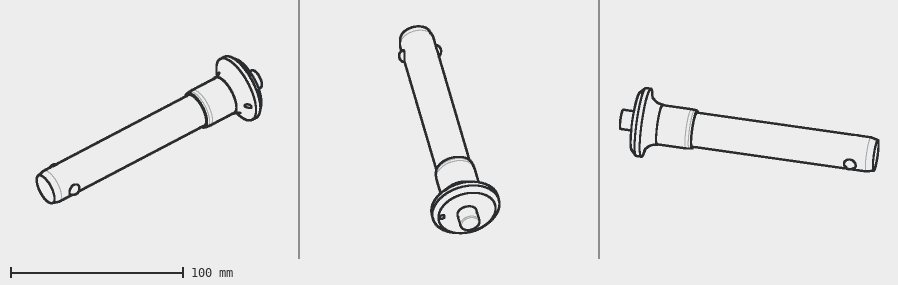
import cadquery as cq

LENGTH = 150.1

BUTTON_RADIUS = 5.7
BUTTON_LENGTH = 8.5
BUTTON_EDGE = 0.6

HEAD_RADIUS = 20.0
HEAD_THICKNESS = 6.0
HEAD_CHAMFER = 3.0

COLLAR_RADIUS = 11.5
COLLAR_LENGTH = 28.5
FLARE_RADIUS = 8.1
COLLAR_TAPER_LENGTH = 3.5
COLLAR_LIP_LENGTH = 1.5
COLLAR_STEP = 0.2
COLLAR_LIP_CHAMFER = 0.3

SHAFT_RADIUS = 10.0
TIP_RADIUS = 9.0
TIP_LENGTH = 4.2

BALL_RADIUS = 3.8
BALL_REACH = 12.5
BALL_Y = 13.4

HOLE_RADIUS = 1.5
HOLE_X = 14.9

HEAD_TOP = LENGTH - BUTTON_LENGTH
HEAD_BOTTOM = HEAD_TOP - HEAD_THICKNESS
FLARE_BOTTOM = HEAD_BOTTOM - FLARE_RADIUS
FLARE_FOOT_RADIUS = HEAD_RADIUS - FLARE_RADIUS
COLLAR_BOTTOM = HEAD_BOTTOM - COLLAR_LENGTH
LIP_RADIUS = COLLAR_RADIUS - COLLAR_STEP


def turned_body():
    """Revolve the half outline (radius, y) of tip, shaft, collar, head and button."""
    flare_45 = FLARE_RADIUS * 0.5 ** 0.5
    outline = (
        cq.Workplane("XY")
        .moveTo(0, 0)
        .lineTo(TIP_RADIUS, 0)
        .lineTo(SHAFT_RADIUS, TIP_LENGTH)
        .lineTo(SHAFT_RADIUS, COLLAR_BOTTOM)
        .lineTo(LIP_RADIUS - COLLAR_LIP_CHAMFER, COLLAR_BOTTOM)
        .lineTo(LIP_RADIUS, COLLAR_BOTTOM + COLLAR_LIP_LENGTH)
        .lineTo(COLLAR_RADIUS, COLLAR_BOTTOM + COLLAR_TAPER_LENGTH)
        .lineTo(COLLAR_RADIUS, FLARE_BOTTOM)
        .lineTo(FLARE_FOOT_RADIUS, FLARE_BOTTOM)
        .threePointArc(
            (HEAD_RADIUS - flare_45, FLARE_BOTTOM + flare_45),
            (HEAD_RADIUS, HEAD_BOTTOM),
        )
        .lineTo(HEAD_RADIUS, HEAD_TOP - HEAD_CHAMFER)
        .lineTo(HEAD_RADIUS - HEAD_CHAMFER, HEAD_TOP)
        .lineTo(BUTTON_RADIUS, HEAD_TOP)
        .lineTo(BUTTON_RADIUS, LENGTH)
        .lineTo(0, LENGTH)
        .close()
    )
    body = outline.revolve(360, (0, 0, 0), (0, 1, 0))
    return body.faces(">Y").edges().fillet(BUTTON_EDGE)


def locking_ball(side):
    """Ball standing out of the shaft on the +X (side = 1) or -X (side = -1) side."""
    ball_x = side * (BALL_REACH - BALL_RADIUS)
    return cq.Workplane("XY").sphere(BALL_RADIUS).translate((ball_x, BALL_Y, 0))


def lanyard_hole():
    """Cutter running along Y through the head, beside the collar."""
    hole_length = HEAD_TOP - FLARE_BOTTOM
    return (
        cq.Workplane("XZ", origin=(HOLE_X, HEAD_TOP, 0))
        .circle(HOLE_RADIUS)
        .extrude(hole_length)
    )


result = turned_body().cut(lanyard_hole())
for side in (-1, 1):
    result = result.union(locking_ball(side))